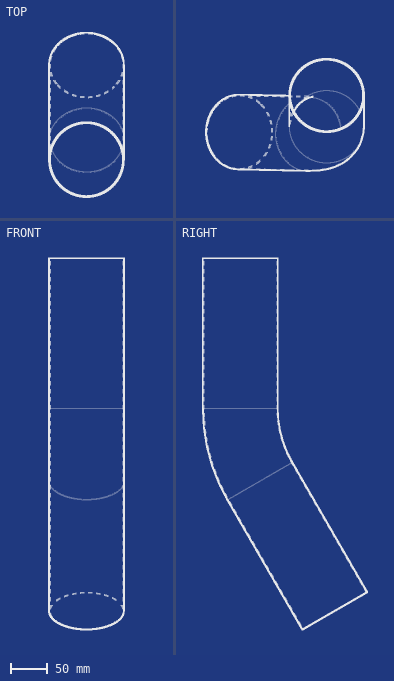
import cadquery as cq
import math

outer_diameter = 101.5
inner_diameter = 98.5
leg_length = 203.0
bend_radius = 196.5
bend_angle = 30.0


def point_on_bend(angle_degrees):
    """Centreline point (Y, Z) after turning by the angle; the bend starts at the origin."""
    angle = math.radians(angle_degrees)
    return (bend_radius * (1 - math.cos(angle)), -bend_radius * math.sin(angle))


bend_middle = point_on_bend(bend_angle / 2)
bend_end = point_on_bend(bend_angle)
slope = math.radians(bend_angle)
lower_end = (
    bend_end[0] + leg_length * math.sin(slope),
    bend_end[1] - leg_length * math.cos(slope),
)
centreline = (
    cq.Workplane("YZ")
    .moveTo(0, leg_length)
    .lineTo(0, 0)
    .threePointArc(bend_middle, bend_end)
    .lineTo(*lower_end)
)

result = (
    cq.Workplane("XY", origin=(0, 0, leg_length))
    .circle(outer_diameter / 2)
    .circle(inner_diameter / 2)
    .sweep(centreline)
)